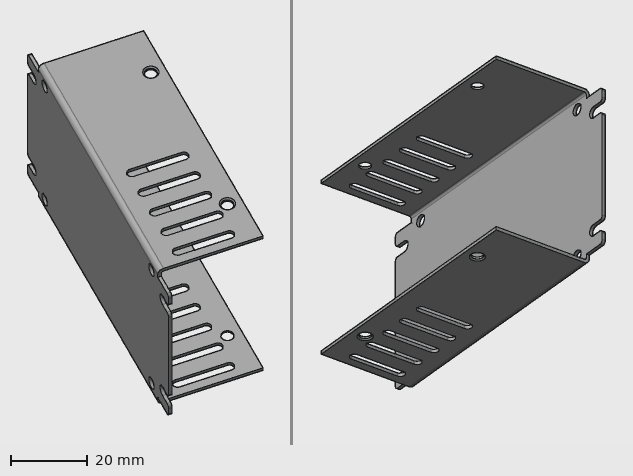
import cadquery as cq

length = 92.2
depth = 30.0
height = 52.8

sheet = 1.0
bend_outer_radius = 1.7
bend_inner_radius = bend_outer_radius - sheet

flange_length = 78.0
ear_drop = 2.8
ear_corner_radius = 1.0

notch_width = 3.3
notch_depth = 5.6
notch_z = 17.9

web_hole_diameter = 3.4
web_hole_spacing_x = 69.7
web_hole_spacing_z = 44.4

flange_hole_diameter = 3.4
countersink_diameter = 4.2
countersink_depth = (countersink_diameter - flange_hole_diameter) / 2
flange_hole_spacing = 50.0
flange_hole_edge_distance = 4.1

slot_count = 5
slot_pitch = 7.5
slot_width = 2.7
slot_length = 17.4
last_slot_x = 35.0
slot_center_y = 14.75


def channel():
    """U-shaped channel: web on the XZ plane, flanges running toward +Y."""
    outer = (
        cq.Workplane("XY")
        .box(flange_length, depth, height, centered=(True, False, True))
        .edges("|X and <Y")
        .fillet(bend_outer_radius)
    )
    inner = (
        cq.Workplane("XY")
        .box(flange_length, depth, height - 2 * sheet, centered=(True, False, True))
        .edges("|X and <Y")
        .fillet(bend_inner_radius)
        .translate((0, sheet, 0))
    )
    return outer.cut(inner)


def eared_plate():
    """Web plate with open notches and rounded ear corners."""
    plate = cq.Workplane("XY").box(length, sheet, height - 2 * ear_drop, centered=(True, False, True))
    for side in (-1, 1):
        for z in (-notch_z, notch_z):
            notch = (
                cq.Workplane("XZ", origin=(side * length / 2, 0, z))
                .slot2D(2 * notch_depth, notch_width)
                .extrude(-sheet)
            )
            plate = plate.cut(notch)
    return plate.edges("|Y and (<X or >X)").fillet(ear_corner_radius)


def web_holes():
    return (
        cq.Workplane("XZ")
        .rect(web_hole_spacing_x, web_hole_spacing_z, forConstruction=True)
        .vertices()
        .circle(web_hole_diameter / 2)
        .extrude(-sheet)
    )


def flange_holes():
    """Revolved cutter through both flanges, with a cone at each outer face."""
    hole_radius = flange_hole_diameter / 2
    rim_radius = countersink_diameter / 2
    top = height / 2
    cone_start = top - countersink_depth
    cutter = (
        cq.Workplane("XZ")
        .moveTo(0, -top)
        .lineTo(rim_radius, -top)
        .lineTo(hole_radius, -cone_start)
        .lineTo(hole_radius, cone_start)
        .lineTo(rim_radius, top)
        .lineTo(0, top)
        .close()
        .revolve(360, (0, 0, 0), (0, 1, 0))
    )
    y = depth - flange_hole_edge_distance
    half_spacing = flange_hole_spacing / 2
    return cutter.translate((-half_spacing, y, 0)).union(cutter.translate((half_spacing, y, 0)))


def vent_slots():
    points = [(last_slot_x - i * slot_pitch, slot_center_y) for i in range(slot_count)]
    return (
        cq.Workplane("XY", origin=(0, 0, -height / 2))
        .pushPoints(points)
        .slot2D(slot_length, slot_width, 90)
        .extrude(height)
    )


result = channel().union(eared_plate()).cut(web_holes()).cut(flange_holes()).cut(vent_slots())